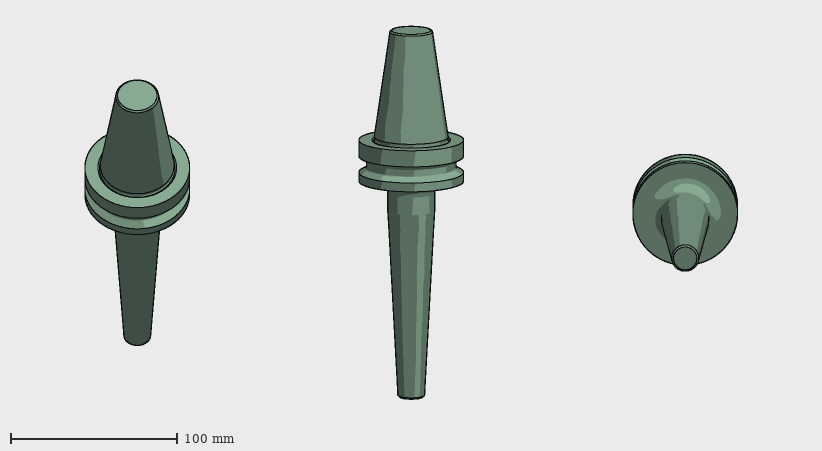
import cadquery as cq
import math

total_length = 225.5
taper_length = 65.4
gauge_radius = 22.3
taper_slope = 7 / 48
taper_chamfer = 1.0

flange_radius = 31.5
flange_gap = 2.0
flange_width = 25.2
upper_rim_width = 10.0
lower_rim_width = 5.5
groove_radius = 27.0
groove_side_angle = 60.0
groove_fillet = 0.7

undercut_radius = 22.0
undercut_lead = 1.0
undercut_fillet = 0.7
undercut_outer_radius = 23.7

neck_radius = 14.2
neck_fillet = 7.5
neck_length = 10.8
nose_radius = 8.1
nose_chamfer = 1.1

top_z = taper_length
bottom_z = taper_length - total_length
top_radius = gauge_radius - taper_slope * taper_length
flange_top_z = -flange_gap
flange_bottom_z = flange_top_z - flange_width
groove_side_height = (flange_radius - groove_radius) / math.tan(math.radians(groove_side_angle))
upper_rim_z = flange_top_z - upper_rim_width
lower_rim_z = flange_bottom_z + lower_rim_width
neck_top_z = flange_bottom_z - neck_fillet
neck_bottom_z = neck_top_z - neck_length
arc_mid_ratio = 1 - math.sqrt(0.5)
undercut_floor_z = flange_top_z - undercut_fillet
undercut_fillet_mid = undercut_fillet * arc_mid_ratio
neck_fillet_mid = neck_fillet * arc_mid_ratio


def make_body():
    """Revolve the half profile of the whole holder about Z."""
    profile = (
        cq.Workplane("XZ")
        .moveTo(0, top_z)
        .lineTo(top_radius - taper_chamfer, top_z)
        .lineTo(top_radius + taper_slope * taper_chamfer, top_z - taper_chamfer)
        .lineTo(gauge_radius, 0)
        .lineTo(undercut_radius, -undercut_lead)
        .lineTo(undercut_radius, flange_top_z)
        .threePointArc(
            (undercut_radius + undercut_fillet_mid, undercut_floor_z + undercut_fillet_mid),
            (undercut_radius + undercut_fillet, undercut_floor_z),
        )
        .lineTo(undercut_outer_radius, flange_top_z)
        .lineTo(flange_radius, flange_top_z)
        .lineTo(flange_radius, upper_rim_z)
        .lineTo(groove_radius, upper_rim_z - groove_side_height)
        .lineTo(groove_radius, lower_rim_z + groove_side_height)
        .lineTo(flange_radius, lower_rim_z)
        .lineTo(flange_radius, flange_bottom_z)
        .lineTo(neck_radius + neck_fillet, flange_bottom_z)
        .threePointArc(
            (neck_radius + neck_fillet_mid, flange_bottom_z - neck_fillet_mid),
            (neck_radius, neck_top_z),
        )
        .lineTo(neck_radius, neck_bottom_z)
        .lineTo(nose_radius, bottom_z + nose_chamfer)
        .lineTo(nose_radius - nose_chamfer, bottom_z)
        .lineTo(0, bottom_z)
        .close()
    )
    return profile.revolve(360, (0, 0, 0), (0, 1, 0))


def round_groove_floor(body):
    """Fillet the two circular corners at the floor of the gripper groove."""
    margin = groove_side_height / 2
    floor_box = cq.selectors.BoxSelector(
        (-flange_radius, -flange_radius, lower_rim_z + margin),
        (flange_radius, flange_radius, upper_rim_z - margin),
        boundingbox=True,
    )
    return body.edges("%CIRCLE").edges(floor_box).fillet(groove_fillet)


result = round_groove_floor(make_body())